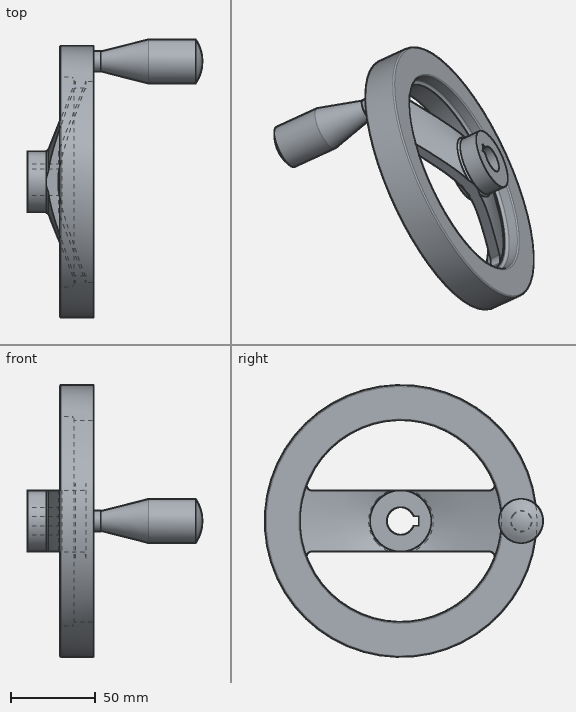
import cadquery as cq
import math

rim_radius = 160.0 / 2
rim_width = 20.0
rim_edge_fillet = 0.8
rim_inner_radius = 118.5 / 2
recess_radius = 123.4 / 2
recess_depth = 8.0
recess_fillet = 1.6

hub_radius = 36 / 2
hub_front = -19.2
hub_back = 1.0
hub_root_fillet = 1.0
bore_radius = 16.0 / 2
key_width = 5.4
key_reach = 10.5

web_front_at_hub = -7.2
web_slope = 0.39
web_thickness = 6.2
web_corner_fillet = 3.0

handle_radius = 26.0 / 2
handle_offset = (163.8 - rim_radius) - handle_radius
neck_radius = 12.5 / 2
taper_start_radius = 5.9
neck_length = 4.0
taper_length = 28.0
grip_length = 27.8
dome_height = 4.1


def revolve_about_x(profile):
    return profile.close().revolve(360, (0, 0, 0), (1, 0, 0))


def make_rim():
    """Ring whose bore has a wider recess at the front, blended into its step."""
    blank = cq.Workplane("YZ").circle(rim_radius).circle(rim_inner_radius).extrude(rim_width)
    recess = cq.Workplane("YZ").circle(recess_radius).extrude(recess_depth)
    recess = recess.faces(">X").edges().fillet(recess_fillet)
    return blank.cut(recess).faces("<X or >X").edges().fillet(rim_edge_fillet)


def make_web():
    """Conical dish cut to a straight bar, with rounded window corners at the rim."""
    run = rim_inner_radius - bore_radius
    front_inner = web_front_at_hub - web_slope * (hub_radius - bore_radius)
    front_outer = front_inner + web_slope * run
    dish = revolve_about_x(
        cq.Workplane("XY")
        .moveTo(front_inner, bore_radius)
        .lineTo(front_outer, rim_inner_radius)
        .lineTo(front_outer + web_thickness, rim_inner_radius)
        .lineTo(front_inner + web_thickness, bore_radius)
    )
    depth = front_outer + web_thickness - front_inner
    half_chord = math.sqrt(rim_inner_radius**2 - hub_radius**2)
    for side in (1, -1):
        window = (
            cq.Workplane("YZ", origin=(front_inner, 0, 0))
            .moveTo(-half_chord, side * hub_radius)
            .threePointArc((0, side * rim_inner_radius), (half_chord, side * hub_radius))
            .close()
            .extrude(depth)
            .edges("|X")
            .fillet(web_corner_fillet)
        )
        dish = dish.cut(window)
    return dish


def make_hub():
    """Cylindrical hub with a small flare where it meets the front of the web."""
    hub = cq.Workplane("YZ", origin=(hub_front, 0, 0)).circle(hub_radius).extrude(hub_back - hub_front)
    flare_front = web_front_at_hub - hub_root_fillet
    flare_radius = hub_radius + hub_root_fillet
    flare_back = web_front_at_hub + web_slope * hub_root_fillet
    flare = revolve_about_x(
        cq.Workplane("XY")
        .moveTo(flare_front, bore_radius)
        .lineTo(flare_front, hub_radius)
        .lineTo(flare_back, flare_radius)
        .lineTo(flare_back, bore_radius)
    )
    bar = cq.Workplane("XY").box(2 * rim_radius, 2 * rim_radius, 2 * hub_radius)
    return hub.union(flare.intersect(bar))


def make_bore():
    """Through bore with a keyway on the handle side."""
    length = hub_back - hub_front
    start = cq.Workplane("YZ", origin=(hub_front, 0, 0))
    keyway = start.center(key_reach / 2, 0).rect(key_reach, key_width).extrude(length)
    return start.circle(bore_radius).extrude(length).union(keyway)


def make_handle():
    """Turned handle: neck, taper, straight grip and domed end."""
    neck_end = rim_width + neck_length
    grip_start = neck_end + taper_length
    grip_end = grip_start + grip_length
    dome_tip = grip_end + dome_height
    dome_radius = (handle_radius**2 + dome_height**2) / (2 * dome_height)
    half_angle = math.asin(handle_radius / dome_radius) / 2
    dome_middle = (
        dome_tip - dome_radius * (1 - math.cos(half_angle)),
        dome_radius * math.sin(half_angle),
    )
    handle = revolve_about_x(
        cq.Workplane("XY")
        .moveTo(rim_width, 0)
        .lineTo(rim_width, neck_radius)
        .lineTo(neck_end, neck_radius)
        .lineTo(neck_end, taper_start_radius)
        .lineTo(grip_start, handle_radius)
        .lineTo(grip_end, handle_radius)
        .threePointArc(dome_middle, (dome_tip, 0))
    )
    return handle.translate((0, handle_offset, 0))


wheel = make_rim().union(make_web()).union(make_hub()).cut(make_bore())
result = wheel.union(make_handle())